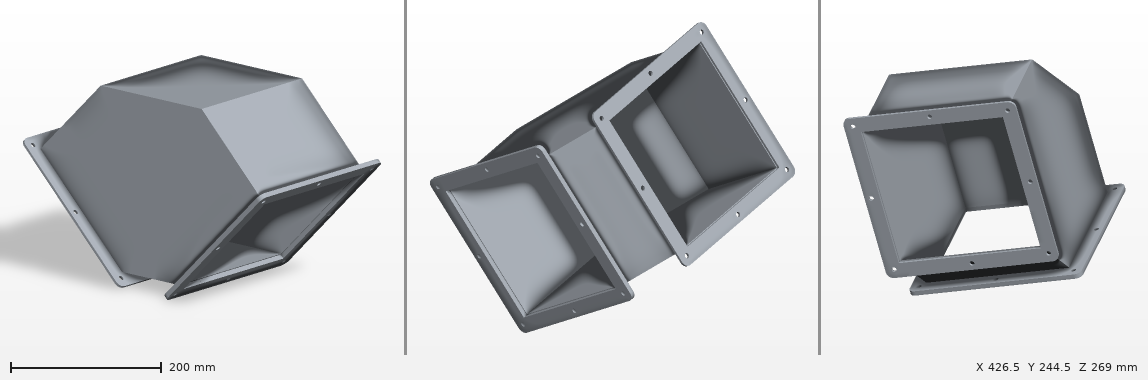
import cadquery as cq
import math

SLOPE = math.sqrt(0.5)

overall_width = 426.5

duct_size = 203.0
wall = 2.0
roof_length = 150.0

flange_size = 244.5
flange_opening = 201.5
corner_radius = 10.0
flange_thickness = 3.63
gasket_thickness = 3.0

hole_diameter = 7.0
corner_hole_offset = 109.5
middle_hole_offset = 112.5

flange_rim = (flange_size - duct_size) / 2
stack_overhang = (2 * flange_rim + 2 * flange_thickness + gasket_thickness) * SLOPE
half_width = (overall_width - stack_overhang) / 2
mouth_rise = duct_size * SLOPE
roof_rise = roof_length * SLOPE
duct_outline = [
    (-half_width, 0),
    (-half_width + roof_rise, roof_rise),
    (half_width - roof_rise, roof_rise),
    (half_width, 0),
    (half_width - mouth_rise, -mouth_rise),
    (-half_width + mouth_rise, -mouth_rise),
]


def mouth_plane(side, distance=0.0):
    """Plane parallel to one mouth (side -1 left, +1 right), moved outward by distance."""
    centre_x = side * (half_width - mouth_rise / 2 + distance * SLOPE)
    centre_z = -mouth_rise / 2 - distance * SLOPE
    return cq.Plane(origin=(centre_x, 0, centre_z), xDir=(0, 1, 0), normal=(side, 0, -1))


def make_duct():
    """Sheet-metal elbow, open at both mouths."""
    outer = cq.Workplane("XZ").polyline(duct_outline).close().extrude(duct_size / 2, both=True)
    left_mouth = cq.selectors.DirectionMinMaxSelector(mouth_plane(-1).zDir)
    right_mouth = cq.selectors.DirectionMinMaxSelector(mouth_plane(1).zDir)
    return outer.faces(left_mouth + right_mouth).shell(-wall, kind="intersection")


def hole_places():
    """Centres of the eight bolt holes: four in the corners, four halfway along the sides."""
    corner = corner_hole_offset
    middle = middle_hole_offset
    corners = [(x, y) for x in (-corner, corner) for y in (-corner, corner)]
    middles = [(-middle, 0), (middle, 0), (0, -middle), (0, middle)]
    return corners + middles


def make_frame(plane, thickness):
    """Square frame with rounded outer corners and bolt holes, standing on the given plane."""
    plate = cq.Workplane(plane).rect(flange_size, flange_size).extrude(thickness)
    plate = plate.edges(cq.selectors.ParallelDirSelector(plane.zDir)).fillet(corner_radius)
    window = cq.Workplane(plane).rect(flange_opening, flange_opening).extrude(thickness)
    holes = cq.Workplane(plane).pushPoints(hole_places()).circle(hole_diameter / 2).extrude(thickness)
    return plate.cut(window).cut(holes).solids()


duct = make_duct()
flanges = [make_frame(mouth_plane(side), flange_thickness) for side in (-1, 1)]
gasket = make_frame(mouth_plane(1, flange_thickness), gasket_thickness)

result = cq.Compound.makeCompound(
    [duct.val(), *[flange.val() for flange in flanges], gasket.val()]
)